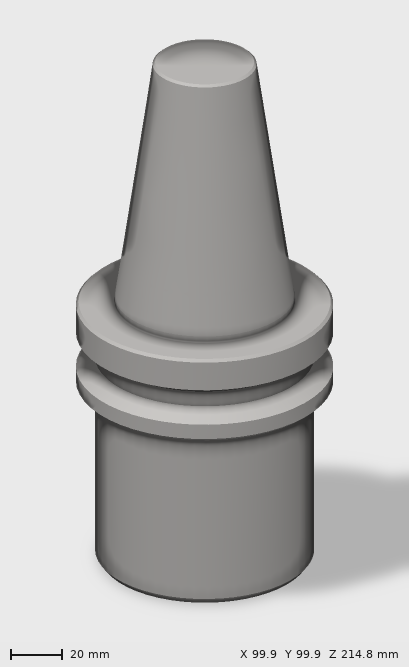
import cadquery as cq
import math

total_height = 214.8

taper_ratio = 7 / 24
gauge_diameter = 69.8
taper_length = 101.8
taper_tip_chamfer = 0.9
collar_height = 2.5

flange_diameter = 99.9
flange_height = 35.5
flange_root_fillet = 0.6
flange_edge_chamfer = 1.0
groove_center_depth = 20.6
groove_floor_width = 6.5
groove_side_angle = 30.0

body_diameter = 85.0
body_chamfer_height = 2.5
body_chamfer_width = 2.0

gauge_radius = gauge_diameter / 2
tip_radius = (gauge_diameter - taper_ratio * taper_length) / 2
flange_radius = flange_diameter / 2
body_radius = body_diameter / 2
gauge_z = total_height - taper_length
flange_top = gauge_z - collar_height
flange_bottom = flange_top - flange_height


def revolve_profile(points):
    """Revolve a closed (radius, height) outline about Z."""
    return cq.Workplane("XZ").polyline(points).close().revolve(360, (0, 0), (0, 1))


def make_shank():
    """7/24 taper standing on a short cylindrical collar."""
    shank = revolve_profile([
        (0, flange_top),
        (gauge_radius, flange_top),
        (gauge_radius, gauge_z),
        (tip_radius, total_height),
        (0, total_height),
    ])
    return shank.faces(">Z").edges().chamfer(taper_tip_chamfer)


def make_flange():
    """Disc with chamfered rims."""
    disc = cq.Workplane("XY").workplane(offset=flange_bottom).circle(flange_radius).extrude(flange_height)
    return disc.edges().chamfer(flange_edge_chamfer)


def make_groove():
    """Ring with a flat floor and sloping sides, to be cut from the flange."""
    center_z = flange_top - groove_center_depth
    side_height = (flange_radius - body_radius) * math.tan(math.radians(groove_side_angle))
    half_floor = groove_floor_width / 2
    half_mouth = half_floor + side_height
    return revolve_profile([
        (body_radius, center_z - half_floor),
        (flange_radius, center_z - half_mouth),
        (flange_radius, center_z + half_mouth),
        (body_radius, center_z + half_floor),
    ])


def make_body():
    """Plain cylinder with a chamfered lower rim."""
    body = cq.Workplane("XY").circle(body_radius).extrude(flange_bottom)
    return body.faces("<Z").edges().chamfer(body_chamfer_height, body_chamfer_width)


def root_edge(radius, height):
    """Selector for the circular edge where a cylinder meets the flange."""
    half_size = radius + flange_root_fillet
    half_height = flange_root_fillet / 2
    return cq.selectors.BoxSelector(
        (-half_size, -half_size, height - half_height),
        (half_size, half_size, height + half_height),
        boundingbox=True,
    )


grooved_flange = make_flange().cut(make_groove())
part = make_body().union(grooved_flange).union(make_shank())

shank_root = root_edge(gauge_radius, flange_top)
body_root = root_edge(body_radius, flange_bottom)
result = part.edges(shank_root + body_root).fillet(flange_root_fillet)